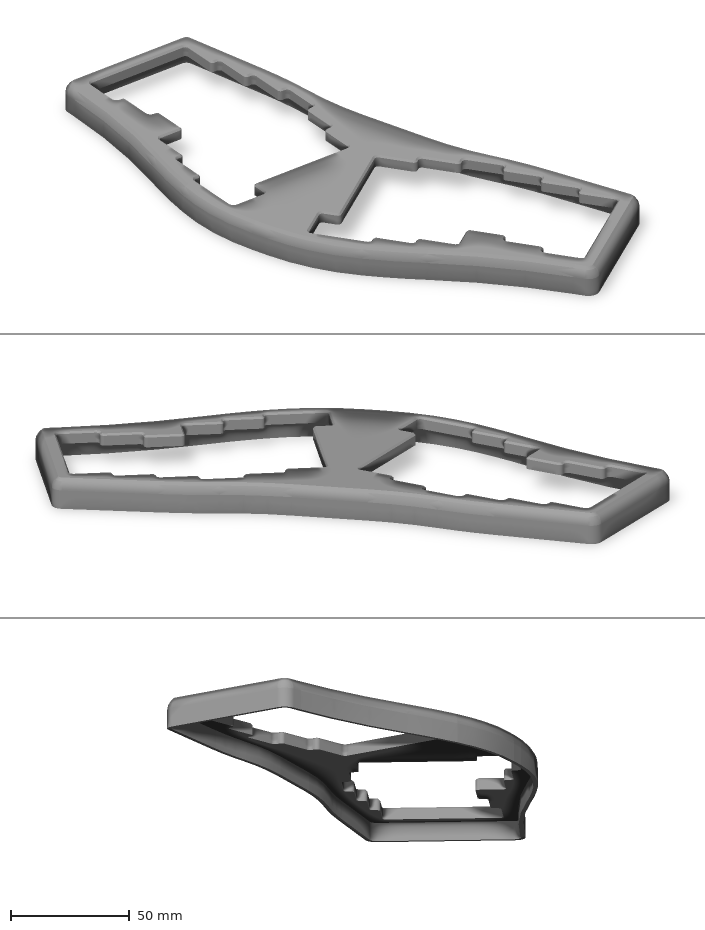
import cadquery as cq
import math

height = 13.0
plate_thickness = 5.2
skirt_thickness = 2.0
corner_round = 5.0
top_chamfer = 2.7
chamfer_round = 5.2

tilt = math.radians(18)
end_distance = 128.5
front_points = [(-4.0, -56.5), (-46.0, -47.5), (-70.7, -34.8), (-127.8, -9.2)]
back_points = [(-16.3, 46.2), (-46.8, 49.5), (-72.0, 53.3)]

column_pitch = 18.0
row_pitch = 16.9
clearance = 0.3
first_column_left = -120.2
first_column_top = 11.5
column_steps = [0, 4.4, 4.4, 4.4, -4.4, -4.4]
main_rows = 3
thumb_columns = [3, 4, 5]
thumb_gap = 0.5
wide_key_columns = 1.5
window_round = 1.5
window_chamfer = 0.8


def end_slope(points):
    """Slope angle at the last point of tangent arcs that start level at the first point."""
    slope = 0
    for (x1, y1), (x2, y2) in zip(points, points[1:]):
        chord = math.atan((y2 - y1) / (x2 - x1))
        slope = 2 * chord - slope
    return slope


def end_edge_corner(points):
    """Sharp corner where the straight run beyond the last arc meets the tilted end edge."""
    x, y = points[-1]
    slope = end_slope(points)
    gap = end_distance + x * math.cos(tilt) - y * math.sin(tilt)
    run = gap / math.cos(slope + tilt)
    return (x - run * math.cos(slope), y - run * math.sin(slope))


def long_side(points):
    """Edges of one long side of the left half, from the middle to the end edge."""
    side = cq.Workplane("XY").moveTo(0, points[0][1]).lineTo(*points[0])
    for point in points[1:]:
        side = side.tangentArcPoint(point, relative=False)
    return side.lineTo(*end_edge_corner(points)).ctx.pendingEdges


def outer_block():
    """Solid block with rounded corners, before its top edge is worked."""
    front_corner = cq.Vector(*end_edge_corner(front_points))
    back_corner = cq.Vector(*end_edge_corner(back_points))
    end_edge = cq.Edge.makeLine(front_corner, back_corner)
    left = long_side(front_points) + long_side(back_points) + [end_edge]
    right = [edge.mirror("YZ") for edge in left]
    outline = cq.Wire.combine(left + right)[0]
    block = cq.Workplane("XY").add(outline).toPending().extrude(height)
    block = block.edges("|Z").edges("<X or >X").fillet(corner_round)
    return block.edges("|Z").edges(">Y").fillet(corner_round)


def hollow(block):
    """Space under the plate, inside the skirt."""
    outline = block.faces("<Z").wires().val()
    inside = cq.Workplane("XY").add(outline).toPending().offset2D(-skirt_thickness)
    return inside.extrude(height - plate_thickness)


def shape_top_edge(block):
    block = block.faces(">Z").edges().chamfer(top_chamfer)
    return block.edges(">>Z[-3]").fillet(chamfer_round)


def key_block(left, top, width, length):
    """Opening for a block of keys, given by its upper left corner."""
    center_x = left + width / 2
    center_y = top - length / 2
    opening = cq.Workplane("XY").center(center_x, center_y)
    return opening.rect(width + 2 * clearance, length + 2 * clearance).extrude(height)


def left_window():
    window = cq.Workplane("XY")
    top = first_column_top
    for column, step in enumerate(column_steps):
        left = first_column_left + column * column_pitch
        top += step
        length = main_rows * row_pitch
        if column in thumb_columns:
            length += thumb_gap + row_pitch
        window = window.union(key_block(left, top, column_pitch, length))
    wide_top = top - main_rows * row_pitch - thumb_gap
    window = window.union(key_block(left, wide_top, wide_key_columns * column_pitch, row_pitch))
    window = window.clean().edges("|Z").fillet(window_round)
    return window.rotate((0, 0, 0), (0, 0, 1), -math.degrees(tilt))


def chamfer_windows(part):
    plate_top = part.faces(">Z").val()
    rims = [edge for wire in plate_top.innerWires() for edge in wire.Edges()]
    return part.newObject(rims).chamfer(window_chamfer)


block = outer_block()
window = left_window()
frame = shape_top_edge(block).cut(hollow(block))
frame = frame.cut(window).cut(window.mirror("YZ"))
result = chamfer_windows(frame)